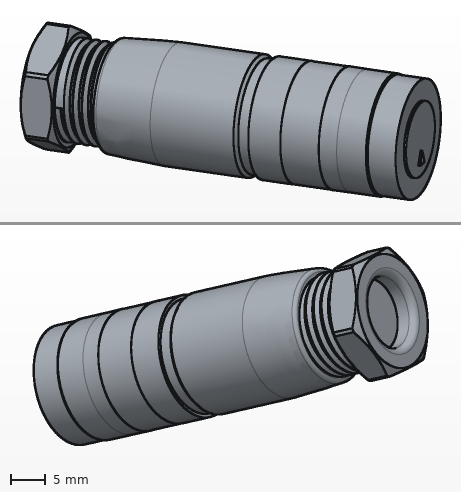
import cadquery as cq
import math

nut_length = 5.0
nut_flats = 17.05
nut_corner_diameter = 19.3
nut_face_diameter = 16.7
nut_chamfer_length = 0.75
bore_diameter = 10.6
bore_mouth_radius = 1.05
bore_depth = 3.1

thread_diameter = 15.2
thread_pitch = 1.4
thread_depth = 0.65
thread_groove_width = 1.3
thread_root_width = 0.05
thread_start = 5.65

body_start = 11.1
body_edge_radius = 0.6
taper_end = 20.25
taper_bulge_radius = 176.25
groove_ramp_start = 33.15
groove_floor_start = 33.65
groove_end = 35.4
sleeve_end = 40.35
band_start = 46.3
band_end = 49.05
step_start = 53.6
step_ramp = 0.25
body_end = 58.1

taper_diameter = 16.9
body_diameter = 18.0
groove_diameter = 16.9
ring_diameter = 17.9
end_diameter = 17.6

disc_diameter = 11.2
disc_thickness = 0.35
overall_length = 58.75
pointer_width = 1.75
pointer_base_z = -3.7
pointer_tip_z = -1.7

def disc(diameter, start, end):
    return cq.Workplane("YZ", origin=(start, 0, 0)).circle(diameter / 2).extrude(end - start)

def make_nut():
    hexagon = (
        cq.Workplane("YZ")
        .polygon(6, nut_flats / math.cos(math.radians(30)))
        .extrude(nut_length)
        .rotate((0, 0, 0), (1, 0, 0), 90)
    )
    corner = nut_corner_diameter / 2
    face = nut_face_diameter / 2
    turned = (
        cq.Workplane("XY")
        .lineTo(0, face)
        .lineTo(nut_chamfer_length, corner)
        .lineTo(nut_length - nut_chamfer_length, corner)
        .lineTo(nut_length, face)
        .lineTo(nut_length, 0)
        .close()
        .revolve(360, (0, 0, 0), (1, 0, 0))
    )
    bored = hexagon.intersect(turned).cut(disc(bore_diameter, 0, bore_depth))
    bore_mouth = bored.faces("<X").edges(cq.selectors.RadiusNthSelector(0))
    return bore_mouth.fillet(bore_mouth_radius)

def make_threaded_neck():
    neck = disc(thread_diameter, nut_length, body_start)
    crest = thread_diameter / 2
    overcut = 0.03
    half_width = thread_groove_width / 2 * (thread_depth + overcut) / thread_depth
    helix_length = body_start - thread_start + thread_pitch / 2
    helix = cq.Wire.makeHelix(thread_pitch, helix_length, crest)
    groove = (
        cq.Workplane("XZ")
        .moveTo(crest - thread_depth, thread_root_width / 2)
        .lineTo(crest + overcut, half_width)
        .lineTo(crest + overcut, -half_width)
        .lineTo(crest - thread_depth, -thread_root_width / 2)
        .close()
        .sweep(cq.Workplane(helix), isFrenet=True)
    )
    axis = cq.Plane(origin=(thread_start, 0, 0), xDir=(0, -1, 0), normal=(1, 0, 0))
    return neck.cut(cq.Workplane(groove.val().moved(cq.Location(axis))))

def make_body():
    taper_start = body_start + body_edge_radius
    return (
        cq.Workplane("XY")
        .moveTo(body_start, 0)
        .lineTo(body_start, taper_diameter / 2 - body_edge_radius)
        .radiusArc((taper_start, taper_diameter / 2), body_edge_radius)
        .radiusArc((taper_end, body_diameter / 2), taper_bulge_radius)
        .lineTo(groove_ramp_start, body_diameter / 2)
        .lineTo(groove_floor_start, groove_diameter / 2)
        .lineTo(groove_end, groove_diameter / 2)
        .lineTo(groove_end, body_diameter / 2)
        .lineTo(sleeve_end, body_diameter / 2)
        .lineTo(sleeve_end, ring_diameter / 2)
        .lineTo(band_start, ring_diameter / 2)
        .lineTo(band_start, body_diameter / 2)
        .lineTo(band_end, ring_diameter / 2)
        .lineTo(step_start, ring_diameter / 2)
        .lineTo(step_start + step_ramp, end_diameter / 2)
        .lineTo(body_end, end_diameter / 2)
        .lineTo(body_end, 0)
        .close()
        .revolve(360, (0, 0, 0), (1, 0, 0))
    )

def make_end_marks():
    disc_end = body_end + disc_thickness
    pointer = (
        cq.Workplane("YZ", origin=(body_end, 0, 0))
        .moveTo(0, pointer_tip_z)
        .lineTo(-pointer_width / 2, pointer_base_z)
        .lineTo(pointer_width / 2, pointer_base_z)
        .close()
        .extrude(overall_length - body_end)
    )
    return disc(disc_diameter, body_end, disc_end).union(pointer)

result = make_nut().union(make_threaded_neck()).union(make_body()).union(make_end_marks())